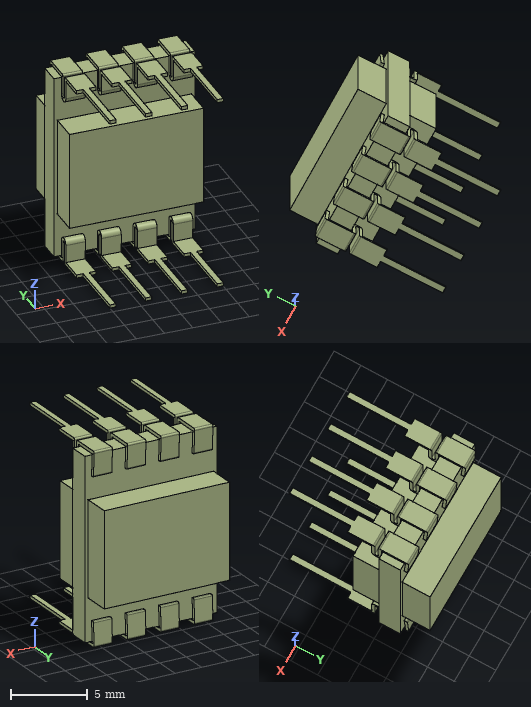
import cadquery as cq

overall_height = 14.0
overall_depth = 10.99

board_width = 10.0
board_thickness = 1.61
board_height = 13.3

core_width = 9.49
core_depth = 5.81
core_height = 7.0

pins_per_row = 4
pin_pitch = 2.53
pin_width = 1.39
lead_width = 0.45
strip_thickness = 0.25
bend_radius = 0.13
clip_depth = 1.85
arm_lean = 0.1
arm_tip_radius = 0.08
front_gap = 0.08
loop_depth = 1.9
lead_start = -3.47

pin_top = overall_height / 2
strip_underside = pin_top - strip_thickness
board_back = board_thickness / 2
board_front = -board_back
lead_tip = core_depth / 2 - overall_depth

arm_tip_z = pin_top - clip_depth
arm_tip_outer = board_back + strip_thickness
arm_top_inner = board_back + arm_lean
arm_top_outer = arm_tip_outer + arm_lean

loop_outer_radius = bend_radius + strip_thickness
loop_back = board_front - front_gap
loop_middle = loop_back - loop_outer_radius
loop_front = loop_middle - loop_outer_radius
slot_back = loop_middle + bend_radius
slot_front = loop_middle - bend_radius
loop_bottom = pin_top - loop_depth
loop_centre_z = loop_bottom + loop_outer_radius


def make_core():
    return cq.Workplane("XY").box(core_width, core_depth, core_height)


def make_board():
    board = cq.Workplane("XY").box(board_width, board_thickness, board_height)
    window = cq.Workplane("XY").box(core_width, board_thickness, core_height)
    return board.cut(window)


def round_edge(body, y, z, radius):
    """Round the edge that runs along X through the given corner of the strip."""
    corner = cq.selectors.NearestToPointSelector((0, y, z))
    return body.edges("|X").edges(corner).fillet(radius)


def make_strip():
    """Full-width strip: back arm, top plate, U-shaped loop and shoulder of the lead."""
    strip = (
        cq.Workplane("YZ")
        .moveTo(board_back, arm_tip_z)
        .lineTo(arm_tip_outer, arm_tip_z)
        .lineTo(arm_top_outer, pin_top)
        .lineTo(slot_back, pin_top)
        .lineTo(slot_back, loop_centre_z)
        .threePointArc((loop_middle, loop_centre_z - bend_radius), (slot_front, loop_centre_z))
        .lineTo(slot_front, pin_top)
        .lineTo(lead_start, pin_top)
        .lineTo(lead_start, strip_underside)
        .lineTo(loop_front, strip_underside)
        .lineTo(loop_front, loop_centre_z)
        .threePointArc((loop_middle, loop_bottom), (loop_back, loop_centre_z))
        .lineTo(loop_back, strip_underside)
        .lineTo(arm_top_inner, strip_underside)
        .close()
        .extrude(pin_width / 2, both=True)
    )
    for bend_y in (arm_top_outer, slot_back, slot_front):
        strip = round_edge(strip, bend_y, pin_top, bend_radius)
    return round_edge(strip, arm_tip_outer, arm_tip_z, arm_tip_radius)


def make_pin():
    """Pin of the top row, centred on X = 0, with its narrow lead."""
    lead = (
        cq.Workplane("XY")
        .box(lead_width, lead_start - lead_tip, strip_thickness, centered=(True, False, False))
        .translate((0, lead_tip, strip_underside))
    )
    return make_strip().union(lead)


def make_pins():
    top_pin = make_pin()
    bottom_pin = top_pin.mirror("XY")
    pins = []
    for index in range(pins_per_row):
        pin_x = (index - (pins_per_row - 1) / 2) * pin_pitch
        for pin in (top_pin, bottom_pin):
            pins.append(pin.translate((pin_x, 0, 0)).val())
    return pins


core = make_core()
board = make_board()
pins = make_pins()

result = cq.Compound.makeCompound([core.val(), board.val(), *pins])